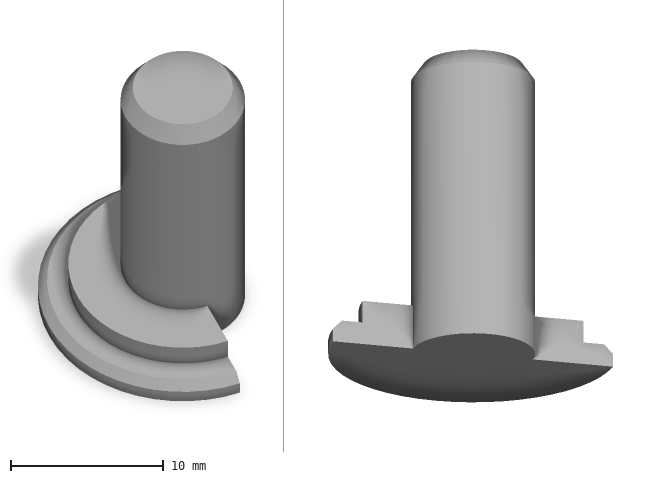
import cadquery as cq

total_height = 20.0
pin_diameter = 8.15
tip_chamfer_height = 1.15
tip_chamfer_width = 0.8

flange_radius = 9.5
flange_height = 1.5
flange_chamfer = 0.6
step_radius = 7.5
step_height = 1.5


def make_pin():
    """Full-length round pin with a tapered tip."""
    radius = pin_diameter / 2
    profile = (
        cq.Workplane("XZ")
        .lineTo(radius, 0)
        .lineTo(radius, total_height - tip_chamfer_height)
        .lineTo(radius - tip_chamfer_width, total_height)
        .lineTo(0, total_height)
        .close()
    )
    return profile.revolve(360, (0, 0, 0), (0, 1, 0))


def make_stepped_flange():
    """Stepped half disc on the -Y side, flat along the pin axis."""
    step_top = flange_height + step_height
    profile = (
        cq.Workplane("XZ")
        .lineTo(flange_radius, 0)
        .lineTo(flange_radius, flange_height - flange_chamfer)
        .lineTo(flange_radius - flange_chamfer, flange_height)
        .lineTo(step_radius, flange_height)
        .lineTo(step_radius, step_top)
        .lineTo(0, step_top)
        .close()
    )
    full_disc = profile.revolve(360, (0, 0, 0), (0, 1, 0))
    front_half = cq.Workplane("XY").box(
        2 * flange_radius, flange_radius, step_top, centered=(True, False, False)
    ).translate((0, -flange_radius, 0))
    return full_disc.intersect(front_half)


result = make_pin().union(make_stepped_flange())